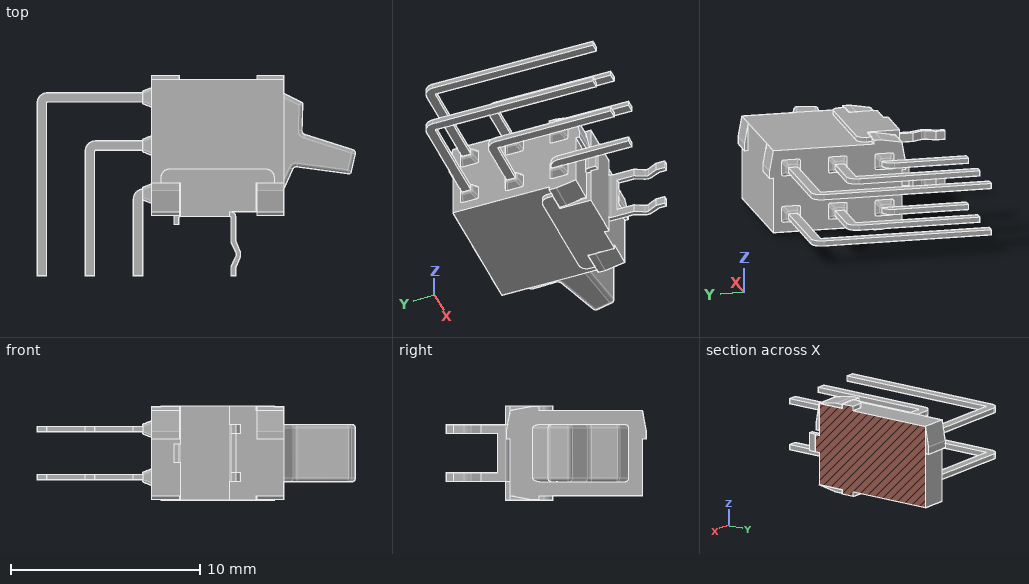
import cadquery as cq
import math


case_side = 7.01
case_height = 4.52
half_side = case_side / 2
half_height = case_height / 2

rear_hook_length = 1.48
front_hook_length = 1.43
hook_rise = 0.2
side_catch_low = 0.74
side_catch_high = 1.15
flank_hook_start = -1.99
flank_hook_bend = -2.4

pitch = 2.55
terminal_width = 0.5
terminal_thickness = 0.29
bend_inner_radius = 0.05
terminal_end = -6.9
first_column = 0.7

collar_size_y = 1.03
collar_size_z = 0.88
collar_height = 0.47
collar_taper = 21
collar_corner_round = 0.13
collar_tip_round = 0.1

clip_height = 5.0
clip_gauge = 0.25
clip_left = 0.5
clip_right = 6.5
arm_start = -1.25
arm_corner_radius = 0.45
neck_left = 1.53
neck_right = 5.53
plate_right = 4.13
clip_inner_bend = 0.08
clip_outer_bend = 0.25
clip_web_end = -4.18
stub_width = 0.98
prong_outer = 3.02
prong_inner = 2.07
kink_start = -5.14
kink_lead = 0.1
kink_crest = -5.76
kink_depth = 0.3
kink_crest_radius = 0.47
kink_hollow_radius = 0.24

lever_thickness = 3.05
lever_edge_round = 0.2
lever_tip_round = 0.2
lever_heel_round = 0.13
lever_root_round = 0.2


def block(x0, x1, y0, y1, z0, z1):
    """Box between two opposite corners."""
    return cq.Workplane("XY").box(x1 - x0, y1 - y0, z1 - z0, centered=False).translate((x0, y0, z0))


def make_hooks(x0, x1):
    """Snap hooks on all sides of the housing between x0 and x1."""
    catch_reach = half_side + hook_rise
    flank_reach = half_height + hook_rise
    profile = [
        (half_side, side_catch_low),
        (catch_reach, side_catch_low),
        (catch_reach, side_catch_high),
        (half_side, half_height),
        (-half_side, half_height),
        (-catch_reach, side_catch_high),
        (-catch_reach, side_catch_low),
        (-half_side, side_catch_low),
    ]
    catches = cq.Workplane("YZ", origin=(x0, 0, 0)).polyline(profile).close().extrude(x1 - x0)
    wedge_profile = [
        (flank_hook_start, 0),
        (flank_hook_start, flank_reach),
        (flank_hook_bend, flank_reach),
        (-half_side, half_height),
        (-half_side, 0),
    ]
    wedge = cq.Workplane("YZ", origin=(x0, 0, 0)).polyline(wedge_profile).close().extrude(x1 - x0)
    return catches.union(wedge).union(wedge.mirror("XY"))


def make_terminal(column, row_y):
    """L-shaped terminal from the housing out to its column, then along -Y."""
    outer_x = -column - terminal_width / 2
    outer_y = row_y + terminal_width / 2
    outer_radius = bend_inner_radius + terminal_width
    bar = block(outer_x, 0, terminal_end, outer_y, -terminal_thickness / 2, terminal_thickness / 2)
    bar = bar.edges("|Z and <X and >Y").fillet(outer_radius)
    window = block(
        outer_x + terminal_width, 0,
        terminal_end, outer_y - terminal_width,
        -terminal_thickness, terminal_thickness,
    )
    window = window.edges("|Z and <X and >Y").fillet(bend_inner_radius)
    return bar.cut(window)


def make_collar():
    """Tapered collar on the terminal face, pointing along -X."""
    collar = cq.Workplane("YZ").rect(collar_size_y, collar_size_z).extrude(-collar_height, taper=collar_taper)
    collar = collar.edges("not(|Y or |Z)").fillet(collar_corner_round)
    return collar.faces("<X").edges().fillet(collar_tip_round)


def make_clip_arms():
    """Arms on the +Z and -Z faces, and the plate that joins them."""
    arms = block(clip_left, clip_right, flank_hook_start, arm_start, -clip_height / 2, clip_height / 2)
    arms = arms.edges("|Z and >Y").fillet(arm_corner_radius)
    neck = block(neck_left, neck_right, -half_side, flank_hook_start, -clip_height / 2, clip_height / 2)
    plate = block(
        neck_left, plate_right,
        -half_side - clip_gauge, -half_side,
        -clip_height / 2, clip_height / 2,
    )
    return arms.union(neck).union(plate)


def make_bent_tab(edge_x, side, end_y, width):
    """Strip that leaves the plate at edge_x, bends through 90 degrees and runs to end_y.

    side is +1 for a strip that leaves towards +X and -1 towards -X.
    """
    outer_face = -half_side
    inner_face = outer_face - clip_gauge
    outer_x = edge_x + side * (clip_inner_bend + clip_gauge)
    inner_x = edge_x + side * clip_inner_bend
    outer_centre = (outer_x - side * clip_outer_bend, outer_face - clip_outer_bend)
    inner_centre = (edge_x, inner_face - clip_inner_bend)

    def bend_middle(centre, radius):
        diagonal = radius * math.sqrt(0.5)
        return (centre[0] + side * diagonal, centre[1] + diagonal)

    return (
        cq.Workplane("XY", origin=(0, 0, -width / 2))
        .moveTo(edge_x, outer_face)
        .lineTo(outer_centre[0], outer_face)
        .threePointArc(bend_middle(outer_centre, clip_outer_bend), (outer_x, outer_centre[1]))
        .lineTo(outer_x, end_y)
        .lineTo(inner_x, end_y)
        .lineTo(inner_x, inner_centre[1])
        .threePointArc(bend_middle(inner_centre, clip_inner_bend), (edge_x, inner_face))
        .close()
        .extrude(width)
    )


def make_prongs():
    """Two kinked retention prongs hanging from a common web."""
    web = make_bent_tab(plate_right, 1, clip_web_end, prong_outer)
    left = plate_right + clip_inner_bend
    right = left + clip_gauge
    kink_end = 2 * kink_crest - kink_start
    strip = (
        cq.Workplane("XY", origin=(0, 0, -prong_outer / 2))
        .polyline([
            (left, clip_web_end),
            (left, kink_start),
            (left + kink_depth, kink_crest),
            (left, kink_end),
            (left, terminal_end),
            (right, terminal_end),
            (right, kink_end - kink_lead),
            (right + kink_depth, kink_crest),
            (right, kink_start + kink_lead),
            (right, clip_web_end),
        ])
        .close()
        .extrude(prong_outer)
    )
    crest = cq.selectors.NearestToPointSelector((right + kink_depth, kink_crest, 0))
    strip = strip.edges(crest).fillet(kink_crest_radius)
    hollow = cq.selectors.NearestToPointSelector((left + kink_depth, kink_crest, 0))
    strip = strip.edges(hollow).fillet(kink_hollow_radius)
    gap = block(
        left, right + 2 * kink_depth,
        terminal_end, clip_web_end,
        -prong_inner / 2, prong_inner / 2,
    )
    return web.union(strip.cut(gap))


def make_housing():
    """Case with its hooks, terminals, collars and mounting clip."""
    housing = block(0, case_side, -half_side, half_side, -half_height, half_height)
    housing = housing.union(make_hooks(0, rear_hook_length))
    housing = housing.union(make_hooks(case_side - front_hook_length, case_side))
    collar = make_collar()
    for row in range(3):
        row_y = (row - 1) * pitch
        terminal = make_terminal(first_column + row * pitch, row_y)
        for level in (-pitch / 2, pitch / 2):
            housing = housing.union(terminal.translate((0, 0, level)))
            housing = housing.union(collar.translate((0, row_y, level)))
    housing = housing.union(make_clip_arms())
    housing = housing.union(make_bent_tab(neck_left, -1, clip_web_end, stub_width))
    return housing.union(make_prongs())


def make_lever():
    """Rocker with an inclined paddle, standing on the +X face of the housing."""
    root_top = (case_side, 2.76)
    shoulder = (8.02, 2.25)
    paddle_top_root = (7.97, 0.64)
    paddle_top_tip = (10.83, -0.27)
    paddle_low_tip = (10.55, -1.52)
    paddle_low_root = (7.55, -1.11)
    root_low = (case_side, -2.31)
    lever = (
        cq.Workplane("XY", origin=(0, 0, -lever_thickness / 2))
        .polyline([
            root_top, shoulder, paddle_top_root, paddle_top_tip,
            paddle_low_tip, paddle_low_root, root_low,
        ])
        .close()
        .extrude(lever_thickness)
    )

    corner_rounds = [
        (shoulder, lever_heel_round),
        (paddle_top_root, lever_root_round),
        (paddle_top_tip, lever_tip_round),
        (paddle_low_tip, lever_heel_round),
        (paddle_low_root, lever_root_round),
    ]
    for (x, y), radius in corner_rounds:
        upright_edge = cq.selectors.NearestToPointSelector((x, y, 0))
        lever = lever.edges(upright_edge).fillet(radius)
    return lever.faces("|Z").edges("not(<X)").fillet(lever_edge_round)


housing = make_housing()
lever = make_lever()
result = cq.Compound.makeCompound([housing.val(), lever.val()])